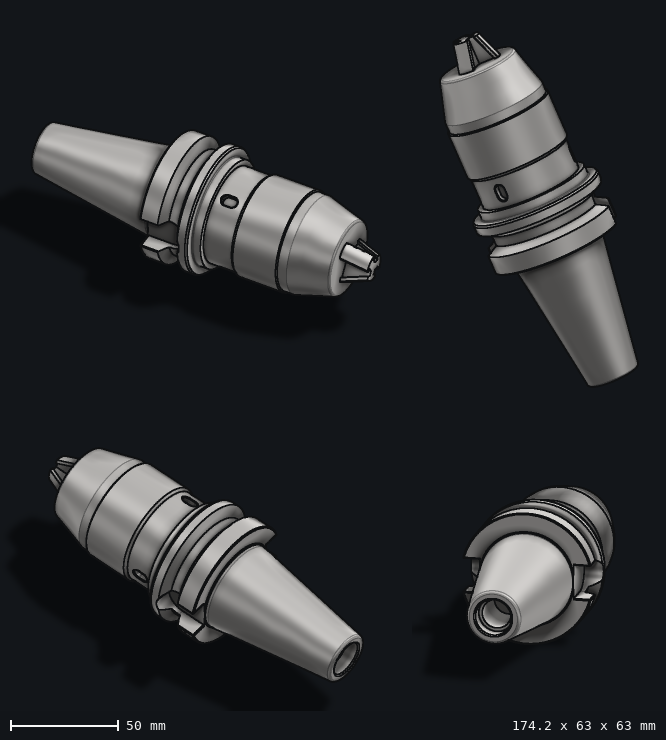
import cadquery as cq
import math

TAPER_LENGTH = 65.3
FLANGE_START = 67.2
GROOVE_START = 76.6
GROOVE_FLOOR_START = 79.8
GROOVE_FLOOR_END = 84.7
GROOVE_END = 87.5
FLANGE_END = 92.7
COLLAR_END = 97.4
BODY_END = 112.2
BAND_START = 113.5
BAND_END = 136.0
NOSE_START = 141.3
NOSE_FACE = 161.0
OVERALL_LENGTH = 174.2

GAUGE_DIAMETER = 44.5
FLANGE_DIAMETER = 63.0
GROOVE_DIAMETER = 52.5
COLLAR_DIAMETER = 53.7
BODY_DIAMETER = 48.0
BAND_DIAMETER = 50.5
HEAD_DIAMETER = 49.0
NOSE_DIAMETER = 37.6

TAPER_RATIO = 7 / 24
TAPER_END_DIAMETER = GAUGE_DIAMETER - TAPER_RATIO * TAPER_LENGTH

TAPER_END_FILLET = 1.4
FLANGE_ROOT_FILLET = 0.5
FLANGE_FRONT_CHAMFER = 0.5
FLANGE_BACK_CHAMFER_LENGTH = 1.0
FLANGE_BACK_CHAMFER_DEPTH = 0.5
COLLAR_ROOT_FILLET = 0.5
BAND_END_CHAMFER = 0.5
NOSE_FILLET = 1.0

COUNTERBORE_DIAMETER = 17.0
COUNTERBORE_DEPTH = 7.1
COUNTERBORE_CHAMFER = 0.7
BORE_DIAMETER = 13.8
BORE_DEPTH = 31.4

SLOT_COUNT = 2
SLOT_WIDTH = 16.0
SLOT_FLOOR_RADIUS = 22.3
SLOT_END = 88.5
SLOT_EDGE_CHAMFER = 0.5

POCKET_CENTER = 104.5
POCKET_LENGTH = 8.7
POCKET_WIDTH = 6.0
POCKET_DEPTH = 3.1
POCKET_CHAMFER = 0.5

JAW_COUNT = 3
JAW_SLOPE = 21.0
JAW_CROWN_RADIUS = 11.7
JAW_EDGE_RADIUS = 10.6
JAW_HEAD_BASE_RADIUS = 8.9
JAW_HEAD_WIDTH = 8.0
JAW_WEB_WIDTH = 4.5


def turned_edge(station, radius):
    """Selector for the circular edge of a given radius at a station along the axis."""
    margin = 0.2
    low = (station - margin, -radius - margin, -radius - margin)
    high = (station + margin, radius + margin, radius + margin)
    return cq.selectors.BoxSelector(low, high, boundingbox=True)


def revolved_body():
    """Taper shank, flange, chuck body and nose as one turned profile."""
    flange_radius = FLANGE_DIAMETER / 2
    gauge_radius = GAUGE_DIAMETER / 2
    groove_radius = GROOVE_DIAMETER / 2
    collar_radius = COLLAR_DIAMETER / 2
    body_radius = BODY_DIAMETER / 2
    band_radius = BAND_DIAMETER / 2
    head_radius = HEAD_DIAMETER / 2
    nose_radius = NOSE_DIAMETER / 2
    profile = [
        (0, 0),
        (0, TAPER_END_DIAMETER / 2),
        (TAPER_LENGTH, gauge_radius),
        (FLANGE_START, gauge_radius),
        (FLANGE_START, flange_radius - FLANGE_FRONT_CHAMFER),
        (FLANGE_START + FLANGE_FRONT_CHAMFER, flange_radius),
        (GROOVE_START, flange_radius),
        (GROOVE_FLOOR_START, groove_radius),
        (GROOVE_FLOOR_END, groove_radius),
        (GROOVE_END, flange_radius),
        (FLANGE_END - FLANGE_BACK_CHAMFER_LENGTH, flange_radius),
        (FLANGE_END, flange_radius - FLANGE_BACK_CHAMFER_DEPTH),
        (FLANGE_END, collar_radius),
        (COLLAR_END, collar_radius),
        (COLLAR_END, body_radius),
        (BODY_END, body_radius),
        (BAND_START, band_radius),
        (BAND_END, band_radius),
        (BAND_END + BAND_END_CHAMFER, head_radius),
        (NOSE_START, head_radius),
        (NOSE_FACE, nose_radius),
        (NOSE_FACE, 0),
    ]
    body = cq.Workplane("XY").polyline(profile).close().revolve(360, (0, 0, 0), (1, 0, 0))
    body = body.faces("<X").edges().fillet(TAPER_END_FILLET)
    body = body.faces(">X").edges().fillet(NOSE_FILLET)
    body = body.edges(turned_edge(FLANGE_START, gauge_radius)).fillet(FLANGE_ROOT_FILLET)
    return body.edges(turned_edge(FLANGE_END, collar_radius)).fillet(COLLAR_ROOT_FILLET)


def drawbar_bore():
    """Stepped blind bore with a chamfered mouth."""
    mouth_radius = COUNTERBORE_DIAMETER / 2 + COUNTERBORE_CHAMFER
    profile = [
        (0, 0),
        (0, mouth_radius),
        (COUNTERBORE_CHAMFER, COUNTERBORE_DIAMETER / 2),
        (COUNTERBORE_DEPTH, COUNTERBORE_DIAMETER / 2),
        (COUNTERBORE_DEPTH, BORE_DIAMETER / 2),
        (BORE_DEPTH, BORE_DIAMETER / 2),
        (BORE_DEPTH, 0),
    ]
    return cq.Workplane("XY").polyline(profile).close().revolve(360, (0, 0, 0), (1, 0, 0))


def drive_slot():
    """Round-ended slot on the -Y side, open towards the taper."""
    half_width = SLOT_WIDTH / 2
    arc_center = SLOT_END - half_width
    depth = FLANGE_DIAMETER / 2 - SLOT_FLOOR_RADIUS
    return (
        cq.Workplane("XZ", origin=(0, -SLOT_FLOOR_RADIUS, 0))
        .moveTo(TAPER_LENGTH, -half_width)
        .lineTo(arc_center, -half_width)
        .threePointArc((SLOT_END, 0), (arc_center, half_width))
        .lineTo(TAPER_LENGTH, half_width)
        .close()
        .extrude(depth)
    )


def slot_rim_chamfer():
    """Wedge that breaks both slot edges on the rim in front of the V-groove."""
    half_width = SLOT_WIDTH / 2
    rim_edge = math.sqrt((FLANGE_DIAMETER / 2) ** 2 - half_width**2)
    wedge_base = rim_edge - SLOT_EDGE_CHAMFER
    wedge_top = FLANGE_DIAMETER / 2
    top_half_width = half_width + wedge_top - wedge_base
    section = [
        (-wedge_base, -half_width),
        (-wedge_base, half_width),
        (-wedge_top, top_half_width),
        (-wedge_top, -top_half_width),
    ]
    return (
        cq.Workplane("YZ", origin=(FLANGE_START, 0, 0))
        .polyline(section)
        .close()
        .extrude(GROOVE_FLOOR_START - FLANGE_START)
    )


def slot_face_chamfer():
    """Wedge that breaks both slot edges on the front face of the flange."""
    half_width = SLOT_WIDTH / 2
    wide_half_width = half_width + SLOT_EDGE_CHAMFER
    section = [
        (FLANGE_START, -wide_half_width),
        (FLANGE_START, wide_half_width),
        (FLANGE_START + SLOT_EDGE_CHAMFER, half_width),
        (FLANGE_START + SLOT_EDGE_CHAMFER, -half_width),
    ]
    return (
        cq.Workplane("XZ", origin=(0, -SLOT_FLOOR_RADIUS, 0))
        .polyline(section)
        .close()
        .extrude(FLANGE_DIAMETER / 2 - SLOT_FLOOR_RADIUS)
    )


def wrench_pocket():
    """Obround pocket on the +Y side of the body, widened by a chamfer at its mouth."""
    body_radius = BODY_DIAMETER / 2
    floor_radius = body_radius - POCKET_DEPTH
    narrow_by = 2 * POCKET_CHAMFER
    pocket = (
        cq.Workplane("XZ", origin=(POCKET_CENTER, floor_radius, 0))
        .slot2D(POCKET_LENGTH - narrow_by, POCKET_WIDTH - narrow_by)
        .extrude(-POCKET_DEPTH)
    )
    mouth = (
        cq.Workplane("XZ", origin=(POCKET_CENTER, body_radius, 0))
        .slot2D(POCKET_LENGTH, POCKET_WIDTH)
        .extrude(POCKET_CHAMFER, taper=45)
    )
    return pocket.union(mouth)


def jaw():
    """Jaw on the +Y side: a crowned head on a narrow web, sloping in towards the axis."""
    half_head = JAW_HEAD_WIDTH / 2
    half_web = JAW_WEB_WIDTH / 2
    length = OVERALL_LENGTH - NOSE_FACE
    drop = length * math.tan(math.radians(JAW_SLOPE))
    path = cq.Workplane("XY").moveTo(NOSE_FACE, 0).lineTo(OVERALL_LENGTH, -drop)
    head = (
        cq.Workplane("YZ", origin=(NOSE_FACE, 0, 0))
        .moveTo(JAW_HEAD_BASE_RADIUS, -half_head)
        .lineTo(JAW_EDGE_RADIUS, -half_head)
        .threePointArc((JAW_CROWN_RADIUS, 0), (JAW_EDGE_RADIUS, half_head))
        .lineTo(JAW_HEAD_BASE_RADIUS, half_head)
        .close()
        .sweep(path)
    )
    web = (
        cq.Workplane("XY")
        .polyline([
            (NOSE_FACE, 0),
            (NOSE_FACE, JAW_HEAD_BASE_RADIUS),
            (OVERALL_LENGTH, JAW_HEAD_BASE_RADIUS - drop),
            (OVERALL_LENGTH, 0),
        ])
        .close()
        .extrude(half_web, both=True)
    )
    return head.union(web)


def around_axis(shape, count):
    """Copies of a shape equally spaced around the X axis."""
    return [shape.rotate((0, 0, 0), (1, 0, 0), index * 360 / count) for index in range(count)]


result = revolved_body().cut(drawbar_bore())
chamfered_slot = drive_slot().union(slot_rim_chamfer()).union(slot_face_chamfer())
for cutter in around_axis(chamfered_slot, SLOT_COUNT):
    result = result.cut(cutter)
for cutter in around_axis(wrench_pocket(), JAW_COUNT):
    result = result.cut(cutter)
for part in around_axis(jaw(), JAW_COUNT):
    result = result.union(part)